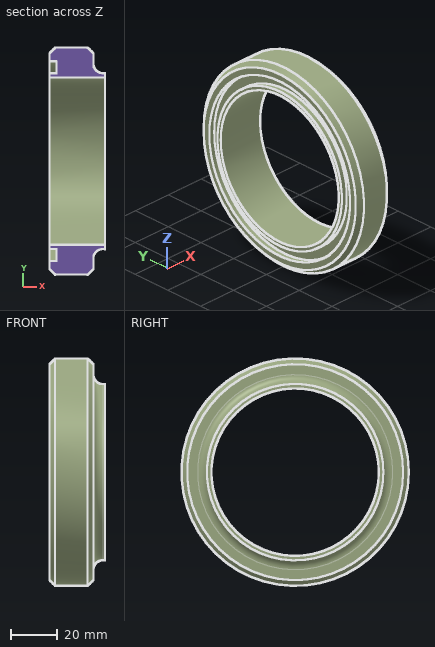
import cadquery as cq
import math

total_length = 24.0
body_length = 19.0
outer_radius = 98.0 / 2
bore_radius = 72.0 / 2
spigot_radius = 76.0 / 2
chamfer = 2.5
blend_radius = 4.0

groove_inner_radius = spigot_radius
groove_outer_radius = 86.0 / 2
groove_depth = 3.0


def ring_blank():
    """Chamfered body with a short spigot blended into its +X face, without the bore."""
    blend_end = body_length + blend_radius
    blend_center_radius = spigot_radius + blend_radius
    arc_offset = blend_radius * math.cos(math.radians(45))
    profile = (
        cq.Workplane("XY")
        .moveTo(0, 0)
        .lineTo(0, outer_radius - chamfer)
        .lineTo(chamfer, outer_radius)
        .lineTo(body_length - chamfer, outer_radius)
        .lineTo(body_length, outer_radius - chamfer)
        .lineTo(body_length, blend_center_radius)
        .threePointArc(
            (blend_end - arc_offset, blend_center_radius - arc_offset),
            (blend_end, spigot_radius),
        )
        .lineTo(total_length, spigot_radius)
        .lineTo(total_length, 0)
        .close()
    )
    return profile.revolve(360, (0, 0, 0), (1, 0, 0))


def bore():
    """Plain cylinder through the full length."""
    return cq.Workplane("YZ").circle(bore_radius).extrude(total_length)


def face_groove():
    """Annular groove sunk from the -X face."""
    return (
        cq.Workplane("YZ")
        .circle(groove_outer_radius)
        .circle(groove_inner_radius)
        .extrude(groove_depth)
    )


result = ring_blank().cut(bore()).cut(face_groove())